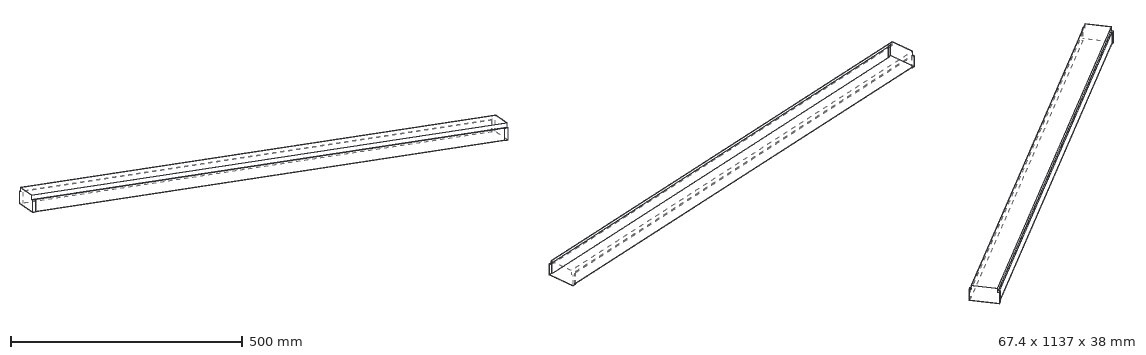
import cadquery as cq

WIDTH = 67.4
LENGTH = 1137.0
HEIGHT = 38.0

LEDGE_WIDTH = 4.7
TOP_STEP_HEIGHT = 10.0

END_CAP_THICKNESS = 8.0
SIDE_RECESS = 1.7

base_height = HEIGHT - TOP_STEP_HEIGHT
top_width = WIDTH - 2 * LEDGE_WIDTH
body_width = WIDTH - 2 * SIDE_RECESS
body_length = LENGTH - 2 * END_CAP_THICKNESS


def block(width, length, height, y=0.0, z=0.0):
    """Box centred on X and on the given Y, standing on the given Z."""
    base_plane = cq.Workplane("XY", origin=(0, y, z))
    return base_plane.box(width, length, height, centered=(True, True, False))


def end_cap(side):
    """Full-width cap at one end of the base; side is -1 or +1 along Y."""
    cap_center = side * (LENGTH - END_CAP_THICKNESS) / 2
    return block(WIDTH, END_CAP_THICKNESS, base_height, y=cap_center)


body = block(body_width, body_length, base_height)
raised_top = block(top_width, LENGTH, TOP_STEP_HEIGHT, z=base_height)

result = body.union(raised_top)
for side in (-1, 1):
    result = result.union(end_cap(side))